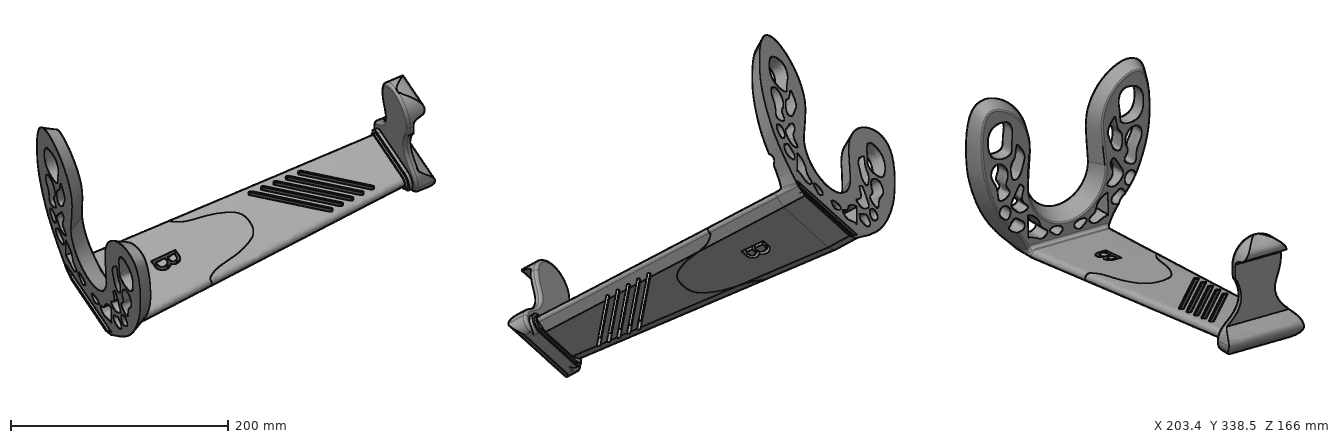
import cadquery as cq
import math


length = 338.5

yoke_height = 166.0
yoke_draft = 27.0
yoke_base_depth = 20.0
yoke_lean = 2.4
yoke_bottom_half = 33.5
yoke_rear_fillet = 2.0
throat_radius = 35.0
throat_bottom = 38.5
throat_center_z = throat_bottom + throat_radius
recess_depth = 2.7
recess_top_half = 44.7
recess_bottom_half = 37.0
recess_bottom = 3.0
recess_top = 10.0

base_corner = (43.5, 5.0)
prong_edge = [
    (61.0, 21.5), (80.5, 45.7), (92.7, 70.5), (100.0, 95.5), (101.7, 122.0), (99.2, 147.2), (91.5, 161.8),
    (80.5, yoke_height), (68.7, 163.8), (53.0, 154.7), (40.5, 140.0), (34.0, 124.0), (32.5, 106.5),
]

prong_windows = [
    [(70.0, 145.0), (62.0, 140.8), (59.5, 133.7), (60.5, 120.0), (61.5, 112.5), (71.0, 109.0),
     (82.3, 113.0), (87.0, 127.0), (84.3, 138.8)],
    [(53.8, 118.0), (49.5, 112.7), (46.7, 105.0), (48.7, 97.0), (55.2, 85.5), (58.2, 84.5),
     (62.3, 93.8), (61.3, 101.5), (57.2, 108.3)],
    [(75.8, 104.5), (69.0, 100.5), (66.0, 89.5), (68.0, 82.0), (64.3, 73.8), (68.7, 69.0),
     (75.5, 68.5), (77.5, 76.0), (79.2, 83.5), (84.0, 93.5), (82.5, 101.2)],
    [(51.0, 78.2), (48.7, 74.5), (50.8, 66.0), (48.7, 59.5), (44.5, 54.0), (50.8, 50.8),
     (58.5, 54.5), (62.5, 61.0), (59.2, 68.5), (55.0, 76.0)],
    [(71.0, 62.0), (65.0, 58.2), (64.5, 50.8), (68.0, 47.7), (71.8, 49.5), (75.8, 57.5)],
    [(57.5, 46.5), (52.5, 43.0), (48.7, 39.0), (49.5, 34.5), (53.5, 32.5), (59.5, 32.5),
     (64.0, 37.2), (63.0, 43.5)],
    [(20.3, 26.0), (14.5, 27.8), (6.5, 23.5), (11.2, 18.5), (17.0, 21.0)],
]
corner_window_side = [(44.7, 24.0), (44.7, 46.0)]
corner_window_curve = [(36.5, 42.3), (32.5, 37.2), (29.8, 30.5), (23.5, 24.7), (27.8, 20.0), (36.5, 21.5)]

stub_length = 24.7
bar_front_width = 91.5
bar_rear_width = 65.0
bar_rear_y = 312.0
bar_thickness = 13.2
bar_rise = 21.3
bar_top_radius = 5.5
bar_side_lean = 2.0
bar_bevel_run = bar_front_width / 2 - yoke_bottom_half
bar_bevel_rise = base_corner[1]
bar_slope = math.degrees(math.atan2(bar_rise, bar_rear_y - stub_length))
root_fillet = 3.5

joint_y = 106.3
arch_half = [(-38.0, joint_y), (-31.5, 116.5), (-27.0, 136.5), (-21.0, 154.0), (-13.2, 164.5)]
arch_apex = (0.0, 168.0)

slot_count = 5
slot_pitch = 12.0
slot_width = 3.0
slot_bevel = 1.0
slot_clearance = 0.5
slot_end_step = 0.7
first_slot_left = -25.7
first_slot_right = 22.7
first_slot_shift = 260.0

window_lobes = [(-7.0, 7.0, 81.5, 94.0), (-7.0, 8.0, 69.0, 84.3)]
island_outlines = [(-3.7, 3.7, 84.3, 91.5), (-3.7, 4.5, 72.0, 81.5)]
bridge_centers = [88.5, 77.2]
bridge_width = 2.0

hook_front_y = 318.2
hook_bottom = 18.0
hook_top = 128.0
head_radius = 25.7
foot_half = 42.0
foot_corner = 10.0
neck_back_y = 325.0
hook_front_fillet = 3.0
collar_width = 73.0
collar_top = 39.3
collar_radius = 10.0
collar_front_y = 314.5
ring_width = 67.0
ring_bottom = 20.0
ring_top = 36.2
ring_radius = 6.8


def mirrored(points):
    return [(-x, z) for x, z in points]


def front_sketch(y):
    """Workplane square to Y at the given y; local coordinates are (x, z)."""
    return cq.Workplane(cq.Plane(origin=(0, y, 0), xDir=(1, 0, 0), normal=(0, -1, 0)))


def inset(points, distance):
    """Shift the inner points of a chain to its left, at right angles to the chord of their neighbours."""
    shifted = []
    for before, point, after in zip(points, points[1:], points[2:]):
        run = after[0] - before[0]
        rise = after[1] - before[1]
        chord = math.hypot(run, rise)
        shifted.append((point[0] - distance * rise / chord, point[1] + distance * run / chord))
    return shifted


def yoke_outline(y, shrink):
    """Closed yoke outline at the given y, drawn in by the given distance except along its base."""
    throat_side = (throat_radius, throat_center_z)
    throat_next = (throat_radius, throat_center_z - 3.5)
    chain = [base_corner] + prong_edge + [throat_side, throat_next]
    edge = [base_corner] + inset(chain, shrink)
    left_edge = mirrored(edge)[::-1]
    return (
        front_sketch(y)
        .moveTo(-yoke_bottom_half, 0)
        .lineTo(yoke_bottom_half, 0)
        .lineTo(*edge[0])
        .spline(edge[1:], includeCurrent=True)
        .threePointArc((0, throat_bottom - shrink), left_edge[0])
        .spline(left_edge[1:], includeCurrent=True)
        .close()
    )


def bar_section(y, width, bottom):
    """Closed bar section at the given y: flat bottom, bevelled below, one smooth curve over the top."""
    half = width / 2
    top = bottom + bar_thickness
    r = bar_top_radius
    mid = r * (1 - math.sqrt(0.5))
    bevel_top = bottom + bar_bevel_rise
    crown = [
        (half, top - r), (half - mid, top - mid), (half - r, top), (half - 1.4 * r, top), (half / 2, top),
    ]
    return (
        front_sketch(y)
        .moveTo(bar_bevel_run - half, bottom)
        .lineTo(half - bar_bevel_run, bottom)
        .lineTo(half - bar_side_lean, bevel_top)
        .spline(crown + [(0, top)] + mirrored(crown)[::-1] + [(bar_side_lean - half, bevel_top)],
                includeCurrent=True)
        .close()
    )


def prong_cutters():
    depth = stub_length + 3.5
    cutters = []
    for side in (1, -1):
        for loop in prong_windows:
            points = [(side * x, z) for x, z in loop]
            cutters.append(front_sketch(0).spline(points, periodic=True).close().extrude(-depth))
        start, end = [(side * x, z) for x, z in corner_window_side]
        curve = [(side * x, z) for x, z in corner_window_curve]
        cutters.append(
            front_sketch(0)
            .moveTo(*start)
            .lineTo(*end)
            .spline(curve + [start], includeCurrent=True)
            .close()
            .extrude(-depth)
        )
    return cutters


def recess_cutter():
    return (
        front_sketch(0)
        .polyline([
            (-recess_bottom_half, recess_bottom),
            (recess_bottom_half, recess_bottom),
            (recess_top_half, recess_top),
            (-recess_top_half, recess_top),
        ])
        .close()
        .extrude(-recess_depth)
    )


def yoke_blank():
    """Drafted fork with a leaning, rounded rear face."""
    shrink = yoke_base_depth * math.tan(math.radians(yoke_draft))
    front = yoke_outline(0, 0).wires().val()
    rear = yoke_outline(yoke_base_depth, shrink).wires().val()
    fork = cq.Workplane(cq.Solid.makeLoft([front, rear], True))
    rear_waste = (
        cq.Workplane("XY")
        .box(length, length, length, centered=(True, False, True))
        .rotate((0, 0, 0), (1, 0, 0), yoke_lean)
        .translate((0, yoke_base_depth, 0))
    )
    return fork.cut(rear_waste).faces(">Y").edges().fillet(yoke_rear_fillet)


def full_bar():
    """Straight stub inside the yoke, and the tapered beam behind it."""
    stub_front = bar_section(0, bar_front_width, 0).wires().val()
    stub_end = bar_section(stub_length, bar_front_width, 0).wires().val()
    rear_end = bar_section(bar_rear_y, bar_rear_width, bar_rise).wires().val()
    stub = cq.Workplane(cq.Solid.makeLoft([stub_front, stub_end], True))
    beam = cq.Workplane(cq.Solid.makeLoft([stub_end, rear_end], True))
    return stub, beam


def slot_cutters():
    """Diagonal slots square to the top face of the bar, bevelled at the top."""
    tilt = math.radians(bar_slope)
    cutters = []
    for i in range(slot_count):
        left = first_slot_left - i * slot_end_step
        right = first_slot_right + i * slot_end_step
        middle_x = (left + right) / 2
        middle_y = middle_x + first_slot_shift - i * slot_pitch
        middle_z = bar_thickness + (middle_y - stub_length) * math.tan(tilt)
        top = cq.Plane(
            origin=(middle_x, middle_y, middle_z),
            xDir=(1, 0, 0),
            normal=(0, -math.sin(tilt), math.cos(tilt)),
        )
        reach = (right - left) * math.sqrt(2)
        wide = slot_width + 2 * (slot_bevel + slot_clearance)
        slot_plane = cq.Workplane(top.rotated((0, 0, 45)))
        cutters.append(
            slot_plane.slot2D(reach + slot_width, slot_width).extrude(2 * bar_thickness, both=True)
        )
        cutters.append(
            slot_plane.workplane(offset=slot_clearance)
            .slot2D(reach + wide, wide)
            .extrude(-slot_bevel - slot_clearance, taper=44.9)
        )
    return cutters


def front_half_region():
    """Upright block holding everything in front of the arched joint."""
    left = arch_half
    right = mirrored(arch_half)[::-1]
    edge = yoke_height
    return (
        cq.Workplane("XY")
        .moveTo(-edge, -3.5)
        .lineTo(-edge, joint_y)
        .lineTo(*left[0])
        .spline(left[1:] + [arch_apex] + right, includeCurrent=True)
        .lineTo(edge, joint_y)
        .lineTo(edge, -3.5)
        .close()
        .extrude(2 * yoke_height, both=True)
    )


def lobe_prism(left, right, bottom, top):
    """Upright prism with a straight left side and a round right side."""
    radius = (top - bottom) / 2
    return (
        cq.Workplane("XY")
        .moveTo(left, bottom)
        .lineTo(right - radius, bottom)
        .threePointArc((right, bottom + radius), (right - radius, top))
        .lineTo(left, top)
        .close()
        .extrude(yoke_height)
    )


def stencil_window():
    upper, lower = window_lobes
    return lobe_prism(*upper).union(lobe_prism(*lower))


def island(outline, bridge_y, bar, window):
    """Plug inside the stencil window, with a bridge that touches the window walls."""
    bar_bottom = (bridge_y - stub_length) * math.tan(math.radians(bar_slope))
    plug = lobe_prism(*outline).intersect(bar)
    bridge = (
        cq.Workplane("XY")
        .box(bar_front_width, bridge_width, bridge_width)
        .translate((0, bridge_y, bar_bottom + bar_thickness / 2))
        .intersect(window)
    )
    return plug.union(bridge)


def hook_outline():
    """Keyhole: round head, narrow neck and a wide foot with rounded corners."""
    right_side = [(23.7, 88.0), (19.0, 71.0), (27.8, 51.5), (38.0, 41.5), (foot_half, 31.5)]
    head_z = hook_top - head_radius
    return (
        front_sketch(hook_front_y)
        .moveTo(foot_corner - foot_half, hook_bottom)
        .lineTo(foot_half - foot_corner, hook_bottom)
        .threePointArc((39.5, 22.5), right_side[-1])
        .spline(right_side[-2::-1] + [(head_radius, head_z)], includeCurrent=True,
                tangents=[(-0.1, 1), (0, 1)])
        .threePointArc((0, hook_top), (-head_radius, head_z))
        .spline(mirrored(right_side), includeCurrent=True, tangents=[(0, -1), (-0.1, -1)])
        .threePointArc((-39.5, 22.5), (foot_corner - foot_half, hook_bottom))
        .close()
    )


def hook_profile():
    """Side profile (y, z) with a pad at the head and a pad at the foot."""
    return (
        cq.Workplane("YZ", origin=(-foot_half - 3.5, 0, 0))
        .moveTo(hook_front_y, hook_bottom)
        .lineTo(327.5, hook_bottom)
        .spline([(331.5, 20.5), (335.8, 25.5), (length, 31.5), (336.5, 36.0), (330.5, 41.0), (neck_back_y, 45.0)],
                includeCurrent=True)
        .lineTo(neck_back_y, 105.0)
        .spline([(330.5, 109.5), (336.8, 112.5), (338.0, 117.0), (333.0, 123.5), (326.5, 126.5),
                 (321.2, hook_top)], includeCurrent=True)
        .lineTo(hook_front_y, hook_top)
        .close()
        .extrude(2 * (foot_half + 3.5))
    )


def hook():
    plate = hook_outline().extrude(hook_front_y - length - 3.5)
    plate = plate.faces("<Y").edges().fillet(hook_front_fillet)
    plate = plate.intersect(hook_profile())
    collar_height = collar_top - hook_bottom
    collar = (
        front_sketch(collar_front_y)
        .center(0, hook_bottom + collar_height / 2)
        .rect(collar_width, collar_height)
        .extrude(collar_front_y - hook_front_y - hook_front_fillet)
        .edges("|Y").fillet(collar_radius)
    )
    ring_height = ring_top - ring_bottom
    ring = (
        front_sketch(bar_rear_y)
        .center(0, ring_bottom + ring_height / 2)
        .rect(ring_width, ring_height)
        .extrude(bar_rear_y - collar_front_y)
        .edges("|Y").fillet(ring_radius)
    )
    return plate.union(collar).union(ring)


stub, beam = full_bar()
yoke = yoke_blank().union(stub)
root_edges = cq.selectors.BoxSelector((-67.7, 13.5, 5.0), (67.7, 23.0, 18.5), boundingbox=True)
yoke = yoke.edges(root_edges).fillet(root_fillet)
for cutter in prong_cutters():
    yoke = yoke.cut(cutter)
yoke = yoke.cut(recess_cutter())

window = stencil_window()
region = front_half_region()
front_half = yoke.union(beam.intersect(region)).cut(window)
rear_half = beam.cut(region).union(hook())
for cutter in slot_cutters():
    rear_half = rear_half.cut(cutter)
islands = [
    island(outline, bridge_y, beam, window) for outline, bridge_y in zip(island_outlines, bridge_centers)
]

result = cq.Compound.makeCompound([front_half.val(), rear_half.val()] + [body.val() for body in islands])